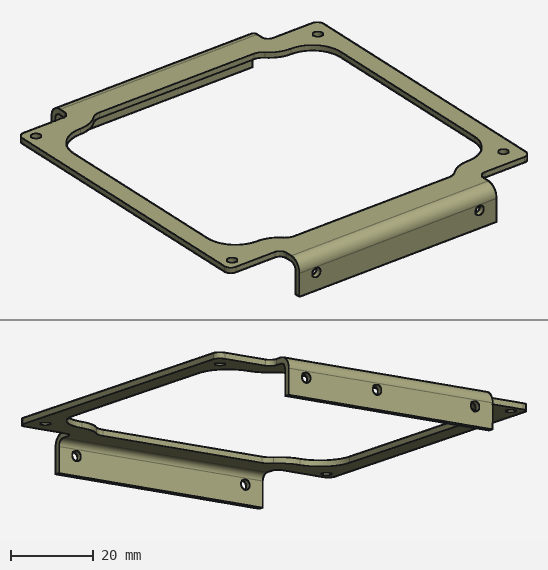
import cadquery as cq
import math

total_width = 98.0
plate_length = 92.2
total_height = 10.0
thickness = 1.6
bend_radius = 3.3

plate_width = 83.7
flange_length = 60.4
corner_radius = 2.0

opening_length = 81.7
opening_width = 77.0
neck_width = 70.0
opening_corner_radius = 8.6
step_radius = 3.7

hole_diameter = 2.5
back_hole_spacing = 73.3
back_hole_y = 41.8
front_hole_spacing = 77.4
front_hole_y = -42.8
flange_hole_spacing = 50.0
flange_hole_depth = 5.0
offset_hole_y = 4.0


def make_bracket():
    """Channel with rounded bends, as long as the flanges."""
    outer = (
        cq.Workplane("XY")
        .box(total_width, flange_length, total_height, centered=(True, True, False))
        .edges("|Y and >Z")
        .fillet(bend_radius)
    )
    inner = (
        cq.Workplane("XY")
        .box(
            total_width - 2 * thickness,
            flange_length,
            total_height - thickness,
            centered=(True, True, False),
        )
        .edges("|Y and >Z")
        .fillet(bend_radius - thickness)
    )
    return outer.cut(inner)


def make_plate():
    """Flat plate extending past both ends of the flanges."""
    return (
        cq.Workplane("XY")
        .workplane(offset=total_height - thickness)
        .rect(plate_width, plate_length)
        .extrude(thickness)
        .edges("|Z")
        .fillet(corner_radius)
    )


def make_notch_fillet(side, end):
    """Concave web filling the inner corner between plate edge and flange end."""
    x = side * plate_width / 2
    y = end * flange_length / 2
    arc_reach = corner_radius * (1 - math.sqrt(0.5))
    return (
        cq.Workplane("XY")
        .workplane(offset=total_height - thickness)
        .moveTo(x, y)
        .lineTo(x + side * corner_radius, y)
        .threePointArc(
            (x + side * arc_reach, y + end * arc_reach),
            (x, y + end * corner_radius),
        )
        .close()
        .extrude(thickness)
    )


def make_opening():
    """Opening whose sides step inwards through S-shaped pairs of tangent arcs."""
    half_wide = opening_width / 2
    half_neck = neck_width / 2
    half_length = opening_length / 2
    neck_y = half_length - opening_corner_radius
    radius_sum = opening_corner_radius + step_radius
    step_angle = math.acos(1 - (half_wide - half_neck) / radius_sum)
    wide_y = neck_y - radius_sum * math.sin(step_angle)
    middle_x = half_neck + opening_corner_radius * (1 - math.cos(step_angle))
    middle_y = neck_y - opening_corner_radius * math.sin(step_angle)
    corner_x = half_neck - opening_corner_radius
    outline = (
        cq.Workplane("XY")
        .moveTo(0, half_length)
        .lineTo(corner_x, half_length)
        .tangentArcPoint((half_neck, neck_y), relative=False)
        .tangentArcPoint((middle_x, middle_y), relative=False)
        .tangentArcPoint((half_wide, wide_y), relative=False)
        .lineTo(half_wide, 0)
        .lineTo(0, 0)
        .close()
    )
    quarter = outline.extrude(total_height)
    half = quarter.union(quarter.mirror("YZ"))
    return half.union(half.mirror("XZ"))


def make_plate_holes():
    """Vertical holes near the four plate corners."""
    positions = []
    for spacing, y in ((back_hole_spacing, back_hole_y), (front_hole_spacing, front_hole_y)):
        positions += [(-spacing / 2, y), (spacing / 2, y)]
    return cq.Workplane("XY").pushPoints(positions).circle(hole_diameter / 2).extrude(total_height)


def make_flange_holes():
    """Two holes through both flanges and an offset one in the left flange only."""
    z = total_height - flange_hole_depth
    profile = cq.Workplane("YZ").workplane(offset=-total_width / 2)
    shared = (
        profile.pushPoints([(-flange_hole_spacing / 2, z), (flange_hole_spacing / 2, z)])
        .circle(hole_diameter / 2)
        .extrude(total_width)
    )
    single = profile.pushPoints([(offset_hole_y, z)]).circle(hole_diameter / 2).extrude(thickness)
    return shared.union(single)


body = make_bracket().union(make_plate())
for side in (-1, 1):
    for end in (-1, 1):
        body = body.union(make_notch_fillet(side, end))

result = body.cut(make_opening()).cut(make_plate_holes()).cut(make_flange_holes())